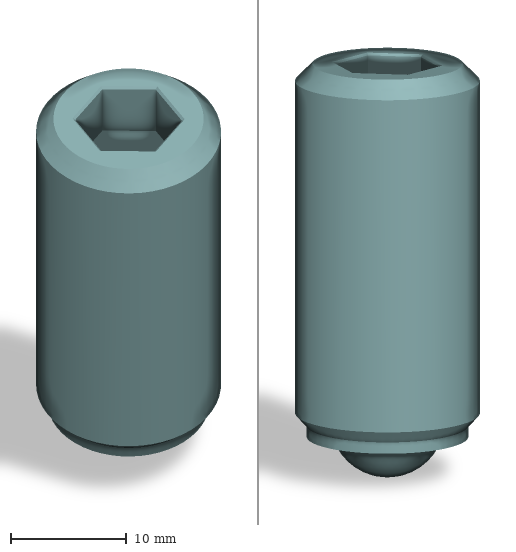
import cadquery as cq
import math

overall_length = 36.5
body_diameter = 16.0

ball_diameter = 10.0
ball_protrusion = 3.5
collar_diameter = 14.0
collar_height = 1.0
bottom_chamfer_height = 1.1

top_chamfer = 1.5
hexagon_sides = 6
socket_across_flats = 8.0
socket_depth = 5.0
socket_chamfer = 0.2

collar_bottom = ball_protrusion
collar_top = collar_bottom + collar_height
body_bottom = collar_top + bottom_chamfer_height
body_top = overall_length - top_chamfer


def make_body():
    """Revolve the collar and the chamfered cylinder about the Z axis."""
    body_radius = body_diameter / 2
    collar_radius = collar_diameter / 2
    profile = [
        (0, collar_bottom),
        (collar_radius, collar_bottom),
        (collar_radius, collar_top),
        (body_radius, body_bottom),
        (body_radius, body_top),
        (body_radius - top_chamfer, overall_length),
        (0, overall_length),
    ]
    return cq.Workplane("XZ").polyline(profile).close().revolve(360, (0, 0, 0), (0, 1, 0))


def make_ball():
    """Ball that sticks out of the collar, with its lowest point at Z = 0."""
    ball_radius = ball_diameter / 2
    return cq.Workplane("XY").sphere(ball_radius).translate((0, 0, ball_radius))


def across_corners(across_flats):
    """Corner-to-corner width of a regular hexagon."""
    return across_flats / math.cos(math.pi / hexagon_sides)


def make_socket():
    """Hexagonal socket, corners along X, with a chamfered mouth."""
    mouth_across_flats = socket_across_flats + 2 * socket_chamfer
    top_plane = cq.Workplane("XY", origin=(0, 0, overall_length))
    recess = top_plane.polygon(hexagon_sides, across_corners(socket_across_flats)).extrude(-socket_depth)
    mouth = (
        top_plane.polygon(hexagon_sides, across_corners(mouth_across_flats))
        .workplane(offset=-socket_chamfer)
        .polygon(hexagon_sides, across_corners(socket_across_flats))
        .loft(ruled=True)
    )
    return recess.union(mouth)


result = make_body().union(make_ball()).cut(make_socket())